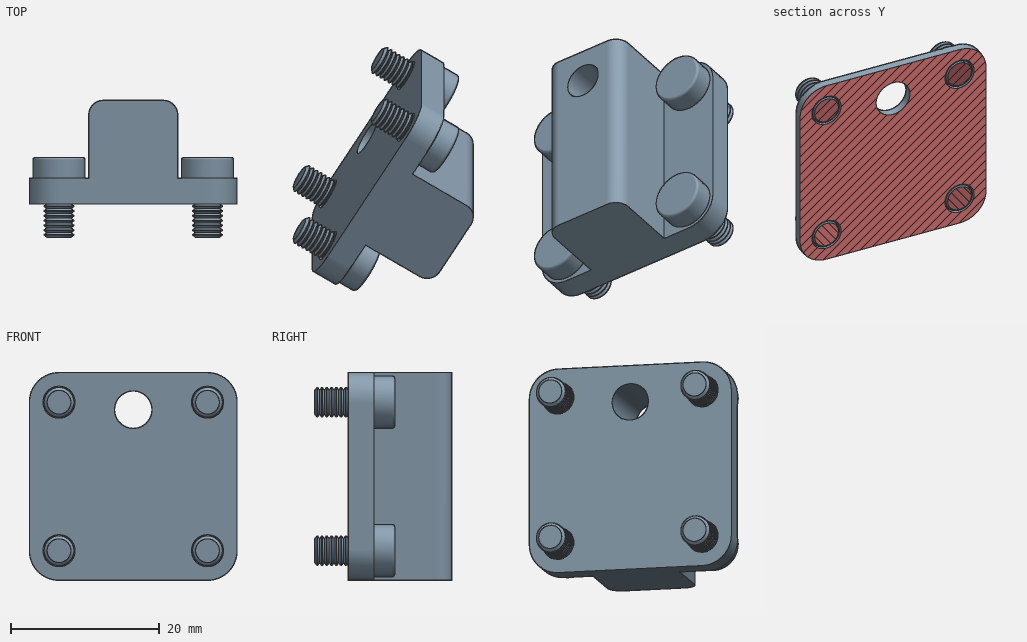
import cadquery as cq

plate_side = 28.0
plate_thickness = 3.5
plate_corner_radius = 4.0
rib_width = 12.0
rib_depth = 10.5
rib_edge_radius = 2.0
bore_diameter = 5.0
bore_height = 9.0
clearance_diameter = 4.3

screw_offset = plate_side / 2 - plate_corner_radius
head_diameter = 7.03
head_height = 2.8
head_fillet = 0.35
shank_diameter = 4.0
shank_radius = shank_diameter / 2
shank_protrusion = 4.5
tip_radius = 1.6
tip_chamfer_length = 0.35
thread_pitch = 0.65
thread_depth = 0.35
crest_width = 0.08
groove_count = 11

screw_positions = [(x, z) for x in (-screw_offset, screw_offset) for z in (-screw_offset, screw_offset)]


def along_y(y):
    """Sketch plane facing +Y at the given Y, with local axes X and Z."""
    return cq.Workplane(cq.Plane(origin=(0, y, 0), xDir=(1, 0, 0), normal=(0, -1, 0)))


def make_block():
    """Plate and rib in one solid, with the bore and the screw clearance holes."""
    plate = (
        along_y(plate_thickness)
        .rect(plate_side, plate_side)
        .extrude(plate_thickness)
        .edges("|Y")
        .fillet(plate_corner_radius)
    )
    total_depth = plate_thickness + rib_depth
    rib = (
        along_y(total_depth)
        .rect(rib_width, plate_side)
        .extrude(total_depth)
        .edges(">Y and |Z")
        .fillet(rib_edge_radius)
    )
    bore = along_y(total_depth).center(0, bore_height).circle(bore_diameter / 2).extrude(total_depth)
    clearance_holes = (
        along_y(plate_thickness)
        .pushPoints(screw_positions)
        .circle(clearance_diameter / 2)
        .extrude(plate_thickness)
    )
    return plate.union(rib).cut(bore).cut(clearance_holes)


def make_screw(x, z):
    """Screw on a Y axis through (x, z): rounded head, ringed thread and chamfered tip."""
    tip_y = -shank_protrusion
    thread_start_y = tip_y + tip_chamfer_length
    half_groove = (thread_pitch - crest_width) / 2

    profile = [(0, tip_y), (tip_radius, tip_y), (shank_radius, thread_start_y)]
    for groove in range(groove_count):
        root_y = thread_start_y + groove * thread_pitch + thread_pitch / 2
        profile += [
            (shank_radius, root_y - half_groove),
            (shank_radius - thread_depth, root_y),
            (shank_radius, root_y + half_groove),
        ]
    profile += [(shank_radius, plate_thickness), (0, plate_thickness)]
    shank = cq.Workplane("XY").polyline(profile).close().revolve(360, (0, 0, 0), (0, 1, 0))

    head = (
        along_y(plate_thickness + head_height)
        .circle(head_diameter / 2)
        .extrude(head_height)
        .faces(">Y")
        .edges()
        .fillet(head_fillet)
    )
    return head.union(shank).translate((x, 0, z))


block = make_block()
screws = [make_screw(x, z) for x, z in screw_positions]

result = cq.Compound.makeCompound([block.val(), *[screw.val() for screw in screws]])